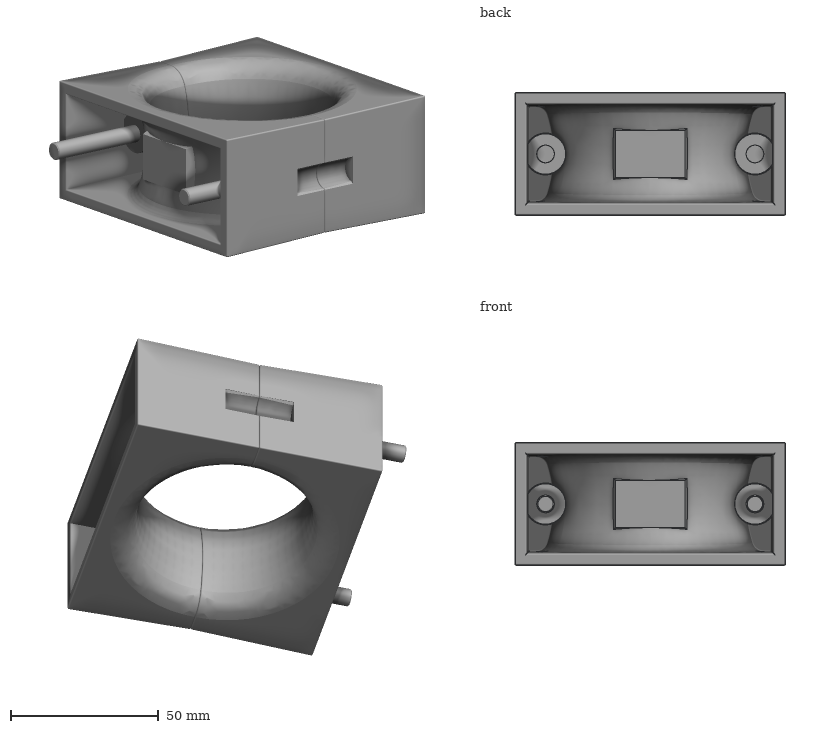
import cadquery as cq
import math

FRONT_WIDTH = 91.5
FRONT_HEIGHT = 41.5
ASSEMBLY_DEPTH = 96.3
HALF_DEPTH = 42.95
DRAFT = 1.0
WALL = 3.95
EDGE_RADIUS = 0.5
FLOOR_RADIUS = 0.4

THROAT_RADIUS = 28.9
BORE_CURVE_RADIUS = 48.15
FLARE_RADIUS = 8.0

PIN_SPACING = 70.9
PIN_RADIUS = 3.0
PIN_CHAMFER = 0.4
BOSS_RADIUS = 6.8
BOSS_TOP = 18.3

PAD_WIDTH = 23.5
PAD_HEIGHT = 16.0
PAD_RAISE = 0.8
PAD_DEPTH = 5.8
PAD_DRAFT = 15.0

GROOVE_LENGTH = 24.0
GROOVE_MOUTH_HEIGHT = 9.6
GROOVE_BEVEL = 0.8
GROOVE_END_RADIUS = 4.1
GROOVE_JOINT_RADIUS = 4.4

DRAFT_SLOPE = math.tan(math.radians(DRAFT))
JOINT_WIDTH = FRONT_WIDTH - 2 * HALF_DEPTH * DRAFT_SLOPE
PIN_TIP = ASSEMBLY_DEPTH - HALF_DEPTH
PIN_X = PIN_SPACING / 2
PIN_CENTERS = [(-PIN_X, 0), (PIN_X, 0)]
RING_RADIUS = THROAT_RADIUS + WALL
PAD_FACE = RING_RADIUS + PAD_RAISE


def plane_in_front(distance=0.0):
    """XZ workplane at the given distance in front of the joint plane; extrudes toward -Y."""
    return cq.Workplane("XZ", origin=(0, -distance, 0))


def waisted_core(inset):
    """Solid of revolution about Z, narrowest at mid-height, lying `inset` outside the bore wall."""
    waist_radius = THROAT_RADIUS + inset
    curve_radius = BORE_CURVE_RADIUS - inset
    half_height = FRONT_HEIGHT / 2
    end_radius = waist_radius + curve_radius - math.sqrt(curve_radius**2 - half_height**2)
    return (
        cq.Workplane("XZ")
        .moveTo(0, -half_height)
        .lineTo(end_radius, -half_height)
        .threePointArc((waist_radius, 0), (end_radius, half_height))
        .lineTo(0, half_height)
        .close()
        .revolve(360, (0, 0, 0), (0, 1, 0))
    )


def drafted_block(inset):
    """Block lying `inset` inside the outer walls, narrowing from the front toward +Y.

    It is twice as deep as a half, so that the bore crosses its top and bottom in closed edges.
    """
    return (
        plane_in_front(HALF_DEPTH)
        .rect(FRONT_WIDTH - 2 * inset, FRONT_HEIGHT - 2 * inset)
        .extrude(-2 * HALF_DEPTH, taper=DRAFT)
    )


def bore_and_trim(block, inset, rear_trim):
    """Cut the flared bore through a block and keep what lies in front of Y = -rear_trim."""
    bore_edges = cq.selectors.BoxSelector(
        (-THROAT_RADIUS, -THROAT_RADIUS, -FRONT_HEIGHT),
        (THROAT_RADIUS, THROAT_RADIUS, FRONT_HEIGHT),
    )
    bored = block.cut(waisted_core(inset)).edges(bore_edges).fillet(FLARE_RADIUS - inset)
    kept_space = (
        plane_in_front(rear_trim).rect(2 * FRONT_WIDTH, 2 * FRONT_HEIGHT).extrude(HALF_DEPTH)
    )
    return bored.intersect(kept_space)


def outer_shape():
    block = drafted_block(0).edges("not #Y").fillet(EDGE_RADIUS)
    return bore_and_trim(block, 0, 0)


def cavity():
    """Open-fronted hollow that leaves the outer walls, the floor and the ring around the bore."""
    hollow = bore_and_trim(drafted_block(WALL), WALL, WALL)
    return hollow.faces(">Y").edges().fillet(FLOOR_RADIUS)


def bosses():
    """Tapered pillars around the pins, merging with the side walls and the ring."""
    root_radius = BOSS_RADIUS + BOSS_TOP * DRAFT_SLOPE
    pillars = (
        plane_in_front().pushPoints(PIN_CENTERS).circle(root_radius).extrude(BOSS_TOP, taper=DRAFT)
    )
    between_walls = (
        plane_in_front().rect(FRONT_WIDTH - 2 * WALL, FRONT_HEIGHT).extrude(BOSS_TOP)
    )
    return pillars.intersect(between_walls).cut(waisted_core(WALL / 2))


def label_pad():
    """Raised rectangular pad on the front of the ring, with sloping sides."""
    growth = 2 * PAD_DEPTH * math.tan(math.radians(PAD_DRAFT))
    pad = (
        plane_in_front(PAD_FACE - PAD_DEPTH)
        .rect(PAD_WIDTH + growth, PAD_HEIGHT + growth)
        .extrude(PAD_DEPTH, taper=PAD_DRAFT)
    )
    return pad.cut(waisted_core(WALL / 2))


def side_groove(side):
    """One half of a round-bottomed groove in the -X or +X wall, with a bevelled mouth."""
    half_length = GROOVE_LENGTH / 2
    mouth_x = side * JOINT_WIDTH / 2
    trough = cq.Workplane(
        cq.Solid.makeCone(
            GROOVE_JOINT_RADIUS,
            GROOVE_END_RADIUS,
            half_length,
            cq.Vector(mouth_x, 0, 0),
            cq.Vector(0, -1, 0),
        )
    )
    half_mouth = GROOVE_MOUTH_HEIGHT / 2
    half_neck = half_mouth - GROOVE_BEVEL
    outer_x = mouth_x + side * GROOVE_BEVEL
    neck_x = mouth_x - side * GROOVE_BEVEL
    mouth = (
        plane_in_front()
        .moveTo(outer_x, half_mouth)
        .lineTo(mouth_x, half_mouth)
        .lineTo(neck_x, half_neck)
        .lineTo(neck_x, -half_neck)
        .lineTo(mouth_x, -half_mouth)
        .lineTo(outer_x, -half_mouth)
        .close()
        .extrude(half_length)
    )
    return trough.union(mouth)


def pin_holes():
    return plane_in_front().pushPoints(PIN_CENTERS).circle(PIN_RADIUS).extrude(BOSS_TOP)


def housing_half():
    """The half in front of the joint plane, open toward -Y."""
    half = outer_shape().cut(cavity()).union(bosses()).union(label_pad())
    for side in (-1, 1):
        half = half.cut(side_groove(side))
    half = half.faces("<Y or >Y").edges().fillet(EDGE_RADIUS)
    return half.cut(pin_holes())


def pin(x):
    """Rod through both halves, flush with the rear boss and standing out at the front."""
    return (
        plane_in_front(-BOSS_TOP)
        .center(x, 0)
        .circle(PIN_RADIUS)
        .extrude(BOSS_TOP + PIN_TIP)
        .faces("<Y")
        .chamfer(PIN_CHAMFER)
    )


front_half = housing_half()
rear_half = front_half.mirror("XZ")
pins = [pin(x) for x in (-PIN_X, PIN_X)]

result = cq.Compound.makeCompound([
    front_half.solids().val(),
    rear_half.solids().val(),
    *[rod.val() for rod in pins],
])